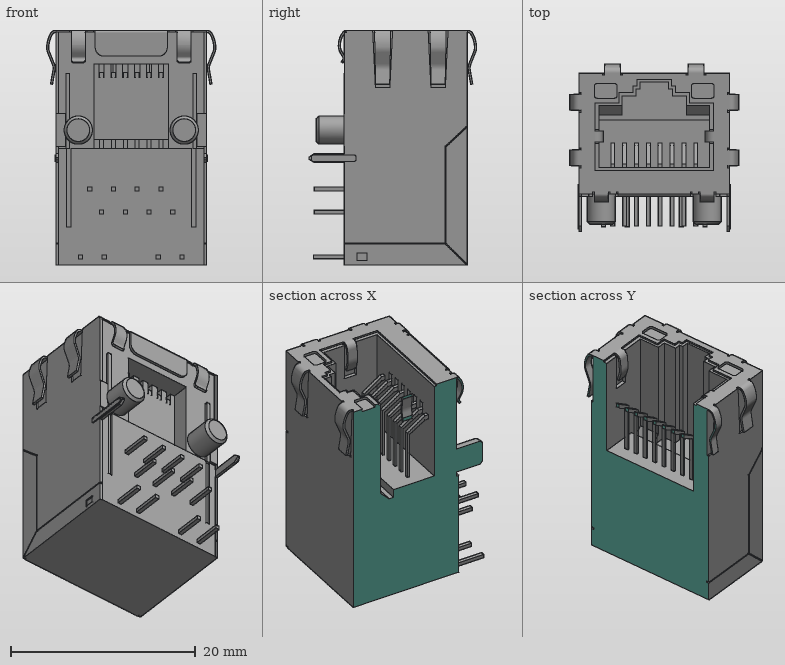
import cadquery as cq
import math


width = 16.3
depth = 13.36
height = 25.4
sheet = 0.3
top_sheet = 0.2
wall_edge_y = 0.05
top_edge_y = 0.26
plate_y = 0.3
half_width = width / 2
inner_half_width = half_width - sheet
insert_top = 12.6

shield_mouth = [(6.4, 2.84), (6.4, 10.15), (3.82, 10.15), (3.82, 11.24),
                (2.32, 11.24), (2.32, 11.94), (1.84, 11.94), (1.84, 12.65)]
housing_mouth = [(5.98, 3.15), (5.98, 9.87), (3.5, 9.87), (3.5, 10.9),
                 (1.95, 10.9), (1.95, 11.63), (1.53, 11.63), (1.53, 12.41)]
cavity_half_width, cavity_front_y = housing_mouth[0]
shoulder_half_width, shoulder_y = housing_mouth[2]
cavity_floor = 12.6
floor_step_height = 1.0
floor_step_y = 8.3
shoulder_bevel = 1.03

led_x = 5.25
led_y = 11.44
led_size = (2.46, 1.6)
led_corner = 0.3
led_depth = 0.3

window_half_width = 4.02
window_top = 21.73
window_depth = 2.35
window_gap_top = 13.6
window_gap_depth = 2.95
contact_pitch = 1.283
contact_count = 8
contact_width = 0.42
contact_thickness = 0.25
contact_top_z = 20.6
contact_land = 0.4
contact_end = (5.8, 19.1)
contact_slot_width = 0.56
contact_slot_bottom = 20.3
contact_foot = 0.15

rib_x = 6.87
rib_width = 0.43
rib_top = 20.75
tab_inner_x = 7.12
tab_bottom = 12.83
tab_top = 16.4
groove_x = 6.78
groove_width = 0.48
groove_bottom = 4.1
groove_depth = 0.3
lip_half_width = 3.9
lip_bottom = 22.6
lip_corner = 0.95
lip_bend = 0.3
lip_root_y = 0.5
slit = 0.18

post_x = 5.73
post_z = 14.6
post_radius = 1.53
post_length = 3.0
post_chamfer = 0.3

pin_size = 0.44
signal_pin_length = 3.2
led_pin_length = 3.28
signal_rows = [(-0.5, 8.23), (0.5, 5.72)]
led_pin_xs = (2.92, 5.49)
led_pin_z = 0.88

ground_z = 11.56
ground_half_width = 0.49
ground_tip_half_width = 0.1
ground_shoulder_y = -3.2
ground_taper = (-3.5, 0.3)
ground_tip_y = -3.78
bead_start_y = 1.32
bead_half_width = 0.33
bead_height = 0.12

spring_thickness = 0.24
spring_root_width = 1.76
spring_tip_width = 1.5
spring_root = 0.3
spring_end_z = 19.2
spring_reach = 1.5
side_spring_ys = (4.2, 10.2)
back_spring_x = 4.52
front_spring_x = 5.73
front_spring_width = 1.52
front_spring_chamfer = 0.2
outer_spring_path = [(0, spring_root), (0.56, -60), (3.0, -30), (1.2, -22), (0, 1.4),
                     (1.2, 32), (0, 1.55)]
front_spring_path = [(0, spring_root), (0.3, -50), (2.2, -40), (1.5, -30), (0, 0.5),
                     (0.4, 60), (0, 0.3)]
relief_bottom = 19.2
relief_top_width = 2.16
relief_bottom_width = 1.57
relief_depth = 0.2

mouth_tab_y = 6.5
mouth_tab_width = 1.2
mouth_tab_slot = 1.5
mouth_tab_path = [(0, 0.1), (0.7, -85), (0, 1.2), (1.5, -20), (0, 1.0)]
mouth_tab_slot_depth = 4.5

seam_width = 0.11
seam_y = 11.0
seam_low_z = 2.33
seam_high_z = 12.8
seam_back_z = 15.02
latch_window_y = (1.45, 2.52)
latch_window_z = (0.48, 1.32)
latch_window_depth = 0.15


def box(x, y, z):
    """Box from (low, high) limits along each axis."""
    size = [high - low for low, high in (x, y, z)]
    return cq.Workplane("XY").box(*size, centered=False).translate((x[0], y[0], z[0]))


def both_sides(shape):
    """A shape together with its mirror image across X = 0."""
    return shape.union(shape.mirror("YZ"))


def mouth_prism(half_outline, bottom):
    """Prism of a mirrored mouth outline, from `bottom` up through the mouth."""
    mirrored = [(-x, y) for x, y in reversed(half_outline)]
    outline = cq.Workplane("XY", origin=(0, 0, bottom)).polyline(half_outline + mirrored)
    return outline.close().extrude(height - bottom)


def strip(start, path, strip_width, thickness):
    """Bent sheet strip drawn in (outward, z); it leaves `start` heading outward.

    The strip lies in the XZ plane with its width centred on Y = 0.
    """
    def normal_offset(point, heading, distance):
        return (point[0] - distance * math.sin(heading), point[1] + distance * math.cos(heading))

    half = thickness / 2
    point = start
    heading = 0.0
    stations = [(point, heading, None)]
    for radius, amount in path:
        if radius == 0:
            point = (point[0] + amount * math.cos(heading), point[1] + amount * math.sin(heading))
            stations.append((point, heading, None))
            continue
        signed_radius = math.copysign(radius, amount)
        centre = normal_offset(point, heading, signed_radius)
        middle_heading = heading + math.radians(amount) / 2
        heading += math.radians(amount)
        middle = normal_offset(centre, middle_heading, -signed_radius)
        point = normal_offset(centre, heading, -signed_radius)
        stations.append((point, heading, (middle, middle_heading)))

    def trace(outline, station, bend, side):
        target = normal_offset(station[0], station[1], side)
        if bend is None:
            return outline.lineTo(*target)
        return outline.threePointArc(normal_offset(*bend, side), target)

    outline = cq.Workplane("XZ").moveTo(*normal_offset(start, 0.0, half))
    for station in stations[1:]:
        outline = trace(outline, station, station[2], half)
    outline = outline.lineTo(*normal_offset(point, heading, -half))
    for index in range(len(stations) - 1, 0, -1):
        outline = trace(outline, stations[index - 1], stations[index][2], -half)
    return outline.close().extrude(strip_width / 2, both=True)


def tapered_block(top_width, bottom_width, bottom, x_low, x_high):
    """Trapezoidal block in the YZ plane, spanning x_low to x_high."""
    corners = [(-top_width / 2, height), (top_width / 2, height),
               (bottom_width / 2, bottom), (-bottom_width / 2, bottom)]
    outline = cq.Workplane("YZ", origin=(x_low, 0, 0)).polyline(corners).close()
    return outline.extrude(x_high - x_low)


def place(shape, turn, x, y):
    """Turn a +X facing shape about Z and move it to its wall."""
    return shape.rotate((0, 0, 0), (0, 0, 1), turn).translate((x, y, 0))


def outer_spring_places():
    """(turn, x, y) of the fingers on the side walls and the far wall."""
    side = [(turn, x, y) for y in side_spring_ys for turn, x in ((0, half_width), (180, -half_width))]
    far = [(90, x, depth) for x in (-back_spring_x, back_spring_x)]
    return side + far


def shell():
    """Outer block with the board side stepped back to the plate."""
    body = box((-half_width, half_width), (wall_edge_y, depth), (0, height))
    body = body.union(box((-inner_half_width, inner_half_width), (0, depth), (0, insert_top)))
    body = body.cut(box((-inner_half_width, inner_half_width), (0, plate_y),
                        (insert_top, height - top_sheet)))
    return body.cut(box((-half_width, half_width), (0, top_edge_y), (height - top_sheet, height)))


def cavity():
    """Plug cavity with bevelled shoulders, a stepped floor and the shield rim."""
    space = mouth_prism(housing_mouth, cavity_floor)
    space = space.union(mouth_prism(shield_mouth, height - top_sheet))
    space = space.cut(box((-cavity_half_width, cavity_half_width), (cavity_front_y, floor_step_y),
                          (cavity_floor, cavity_floor + floor_step_height)))
    profile = [(shoulder_y, cavity_floor + shoulder_bevel), (shoulder_y, cavity_floor),
               (shoulder_y - shoulder_bevel, cavity_floor)]
    bevel = cq.Workplane("YZ", origin=(shoulder_half_width, 0, 0)).polyline(profile).close()
    return space.cut(both_sides(bevel.extrude(cavity_half_width - shoulder_half_width)))


def led_windows():
    pockets = cq.Workplane("XY", origin=(0, 0, height - led_depth))
    pockets = pockets.pushPoints([(-led_x, led_y), (led_x, led_y)]).rect(*led_size).extrude(led_depth)
    return pockets.edges("|Z").fillet(led_corner)


def contact_xs():
    middle = (contact_count - 1) / 2
    return [(index - middle) * contact_pitch for index in range(contact_count)]


def board_window():
    """Window in the plate with a deeper gap along its lower edge and contact slots above."""
    span = (-window_half_width, window_half_width)
    opening = box(span, (0, window_depth), (insert_top, window_top))
    opening = opening.union(box(span, (0, window_gap_depth), (insert_top, window_gap_top)))
    for x in contact_xs()[1:-1]:
        slot_span = (x - contact_slot_width / 2, x + contact_slot_width / 2)
        opening = opening.union(box(slot_span, (0, cavity_front_y), (contact_slot_bottom, window_top)))
    return opening


def contacts():
    """Contacts sloping from the board-side cavity wall, with tails down to the stepped floor."""
    start_y = window_depth
    bend_y = cavity_front_y + contact_land
    end_y, end_z = contact_end
    floor_z = cavity_floor + floor_step_height
    top_z = contact_top_z + contact_thickness
    profile = [(start_y, contact_slot_bottom), (start_y, top_z), (bend_y, top_z),
               (end_y, end_z + contact_thickness), (end_y, floor_z),
               (end_y - contact_thickness, floor_z), (end_y - contact_thickness, end_z),
               (bend_y, contact_slot_bottom)]
    group = cq.Workplane("XY")
    for x in contact_xs():
        outline = cq.Workplane("YZ", origin=(x, 0, 0)).polyline(profile).close()
        group = group.union(outline.extrude(contact_width / 2, both=True))
    for x in contact_xs()[1:-1]:
        group = group.union(box((x - contact_width / 2, x + contact_width / 2),
                                (window_gap_depth - contact_foot, window_gap_depth),
                                (insert_top, window_gap_top)))
    return group


def plate_details():
    """Raised ribs and corner tabs on the board side."""
    rib = box((rib_x - rib_width / 2, rib_x + rib_width / 2), (0, plate_y), (insert_top, rib_top))
    tab = box((tab_inner_x, half_width), (0, plate_y), (tab_bottom, tab_top))
    return both_sides(rib.union(tab))


def housing_grooves():
    groove = box((groove_x - groove_width / 2, groove_x + groove_width / 2), (0, groove_depth),
                 (groove_bottom, insert_top))
    return both_sides(groove)


def lip():
    """Shield lip folded from the top sheet down over the plate."""
    flap = box((-lip_half_width, lip_half_width), (0, lip_root_y), (lip_bottom, height))
    flap = flap.edges("|Y and <Z").fillet(lip_corner)
    return flap.edges("|X and >Z and <Y").fillet(lip_bend)


def sheet_slits():
    """Narrow slits in the top sheet beside the lip and the board-side fingers."""
    starts = (lip_half_width, front_spring_x - front_spring_width / 2 - slit,
              front_spring_x + front_spring_width / 2)
    slits = cq.Workplane("XY")
    for x in starts:
        slits = slits.union(box((x, x + slit), (0, lip_root_y), (height - top_sheet, height)))
    return both_sides(slits)


def spring_reliefs():
    relief = tapered_block(relief_top_width, relief_bottom_width, relief_bottom, -relief_depth, 0)
    reliefs = cq.Workplane("XY")
    for turn, x, y in outer_spring_places():
        reliefs = reliefs.union(place(relief, turn, x, y))
    return reliefs


def outer_springs():
    start = (-spring_root, height - spring_thickness / 2)
    finger = strip(start, outer_spring_path, spring_root_width, spring_thickness)
    finger = finger.intersect(
        tapered_block(spring_root_width, spring_tip_width, spring_end_z, -spring_root, spring_reach))
    springs = cq.Workplane("XY")
    for turn, x, y in outer_spring_places():
        springs = springs.union(place(finger, turn, x, y))
    return springs


def front_springs():
    start = (-spring_root, height - spring_thickness / 2)
    finger = strip(start, front_spring_path, front_spring_width, spring_thickness)
    finger = finger.faces("<Z").edges("not |Y").chamfer(front_spring_chamfer)
    return both_sides(place(finger, -90, front_spring_x, top_edge_y))


def mouth_tab_slots():
    slot = box((cavity_half_width, shield_mouth[0][0]),
               (mouth_tab_y - mouth_tab_slot / 2, mouth_tab_y + mouth_tab_slot / 2),
               (height - mouth_tab_slot_depth, height))
    return both_sides(slot)


def mouth_tabs():
    """Grounding tabs curling from the mouth rim down into the cavity."""
    start = (0, height - spring_thickness / 2)
    tab = strip(start, mouth_tab_path, mouth_tab_width, spring_thickness)
    return both_sides(place(tab, 180, shield_mouth[0][0] + mouth_tab_path[0][1], mouth_tab_y))


def posts():
    post = cq.Workplane("XZ").center(post_x, post_z).circle(post_radius)
    post = post.extrude(post_length).faces("<Y").chamfer(post_chamfer)
    root = cq.Workplane("XZ").center(post_x, post_z).circle(post_radius).extrude(-plate_y)
    return both_sides(post.union(root))


def pin(x, z, length):
    half = pin_size / 2
    return box((x - half, x + half), (-length, plate_y), (z - half, z + half))


def pins():
    group = cq.Workplane("XY")
    for shift, z in signal_rows:
        for index in range(contact_count // 2):
            x = (2 * index - (contact_count - 2) / 2 + shift) * contact_pitch
            group = group.union(pin(x, z, signal_pin_length))
    for x in led_pin_xs:
        group = group.union(both_sides(pin(x, led_pin_z, led_pin_length)))
    return group


def ground_pins():
    """Pointed shield legs, each stiffened by a raised bead."""
    taper_y, taper_half = ground_taper
    upper = [(plate_y, ground_half_width), (ground_shoulder_y, ground_half_width),
             (taper_y, taper_half), (ground_tip_y, ground_tip_half_width)]
    lower = [(y, -z) for y, z in reversed(upper)]
    leg = cq.Workplane("YZ", origin=(inner_half_width, 0, ground_z)).polyline(upper + lower)
    leg = leg.close().extrude(sheet)
    bead = box((inner_half_width, half_width + bead_height), (taper_y, bead_start_y),
               (ground_z - bead_half_width, ground_z + bead_half_width))
    bead = bead.edges("|X").fillet(bead_half_width / 2)
    return both_sides(leg.union(bead))


def seam(start, end):
    """Narrow groove in the +X wall between two (y, z) points."""
    dy = end[0] - start[0]
    dz = end[1] - start[1]
    length = math.hypot(dy, dz) + seam_width
    groove = cq.Workplane("XY").box(sheet, length, seam_width)
    groove = groove.rotate((0, 0, 0), (1, 0, 0), math.degrees(math.atan2(dz, dy)))
    return groove.translate((half_width - sheet / 2, start[0] + dy / 2, start[1] + dz / 2))


def side_seams():
    """Seams of the rear cover and its latch window."""
    inner_corner = (seam_y, seam_low_z)
    upper_corner = (seam_y, seam_high_z)
    cuts = seam((0, seam_low_z), inner_corner)
    cuts = cuts.union(seam(inner_corner, upper_corner))
    cuts = cuts.union(seam(upper_corner, (depth, seam_back_z)))
    cuts = cuts.union(seam(inner_corner, (depth, 0)))
    cuts = cuts.union(box((half_width - latch_window_depth, half_width),
                          latch_window_y, latch_window_z))
    return both_sides(cuts)


result = shell()
for cutter in (cavity(), mouth_tab_slots(), led_windows(), board_window(), housing_grooves(),
               spring_reliefs(), side_seams()):
    result = result.cut(cutter)
result = result.union(lip()).cut(sheet_slits())
for addition in (contacts(), plate_details(), posts(), pins(), ground_pins(),
                 outer_springs(), front_springs(), mouth_tabs()):
    result = result.union(addition)